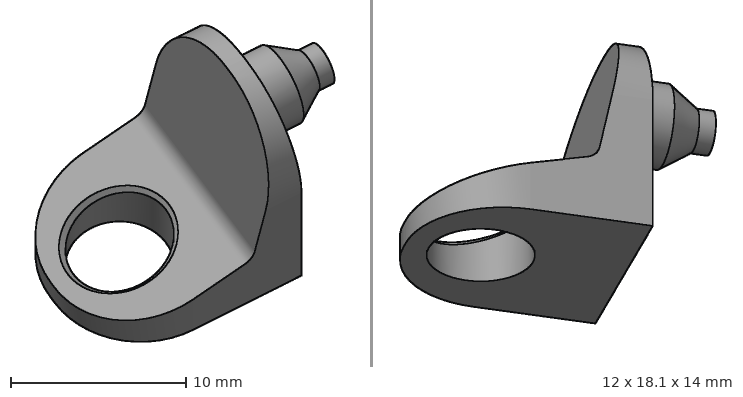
import cadquery as cq
import math

width = 12.0
height = 14.0
total_depth = 18.1
upright_tip_thickness = 1.21
base_tip_thickness = 1.5
inner_corner_y = -3.28
inner_corner_z = 4.09
inner_fillet = 1.0
end_radius = 5.75

hole_radius = 3.1
hole_y = -8.5
hole_chamfer = 0.3

pin_z = 10.0
pin_radius = 2.5
pin_tip_radius = 1.3
shank_length = 2.28
cone_length = 1.81
tip_length = 1.0
pin_length = shank_length + cone_length + tip_length

base_depth = total_depth - pin_length


def make_bracket():
    """Extrude the tapered L profile and round its inner corner and both ends."""
    profile = [
        (0, 0),
        (0, height),
        (-upright_tip_thickness, height),
        (inner_corner_y, inner_corner_z),
        (-base_depth, base_tip_thickness),
        (-base_depth, 0),
    ]
    body = cq.Workplane("YZ").polyline(profile).close().extrude(width / 2, both=True)
    inner_corner = cq.selectors.NearestToPointSelector((0, inner_corner_y, inner_corner_z))
    body = body.edges("|X").edges(inner_corner).fillet(inner_fillet)
    body = body.faces("<Y").edges("|Z").fillet(end_radius)
    return body.faces(">Z").edges("|Y").fillet(end_radius)


def tilted_rim(radius, uphill, downhill):
    """Wire through two (y, z) end points that appears as a circle from above."""
    rise = uphill[1] - downhill[1]
    run = uphill[0] - downhill[0]
    tilt = math.atan2(rise, run)
    centre = (0, (uphill[0] + downhill[0]) / 2, (uphill[1] + downhill[1]) / 2)
    plane = cq.Plane(origin=centre, xDir=(1, 0, 0), normal=(0, -math.sin(tilt), math.cos(tilt)))
    return cq.Workplane(plane).ellipse(radius, math.hypot(rise, run) / 2).val()


def cut_hole(body):
    """Cut the vertical hole and its chamfer, which widens on the downhill side."""
    cutter = cq.Workplane("XY").center(0, hole_y).circle(hole_radius).extrude(height)

    slope = math.atan2(inner_corner_z - base_tip_thickness, inner_corner_y + base_depth)

    uphill_setback = hole_chamfer / math.tan((math.pi / 2 + slope) / 2)
    downhill_setback = hole_chamfer / math.tan((math.pi / 2 - slope) / 2)

    def face_height(y):
        return base_tip_thickness + (y + base_depth) * math.tan(slope)

    uphill_y = hole_y + hole_radius
    downhill_y = hole_y - hole_radius
    inner_rim = tilted_rim(
        hole_radius,
        (uphill_y, face_height(uphill_y) - uphill_setback),
        (downhill_y, face_height(downhill_y) - downhill_setback),
    )
    outer_uphill_y = uphill_y + uphill_setback * math.cos(slope)
    outer_downhill_y = downhill_y - downhill_setback * math.cos(slope)
    outer_rim = tilted_rim(
        hole_radius + hole_chamfer,
        (outer_uphill_y, face_height(outer_uphill_y)),
        (outer_downhill_y, face_height(outer_downhill_y)),
    )
    chamfer = cq.Solid.makeLoft([inner_rim, outer_rim], True)
    return body.cut(cutter).cut(cq.Workplane(chamfer))


def make_pin():
    """Revolve the stepped pin about its axis along Y."""
    cone_end = shank_length + cone_length
    return (
        cq.Workplane("XY")
        .polyline([
            (0, 0),
            (pin_radius, 0),
            (pin_radius, shank_length),
            (pin_tip_radius, cone_end),
            (pin_tip_radius, pin_length),
            (0, pin_length),
        ])
        .close()
        .revolve(360, (0, 0, 0), (0, 1, 0))
        .translate((0, 0, pin_z))
    )


result = cut_hole(make_bracket()).union(make_pin())